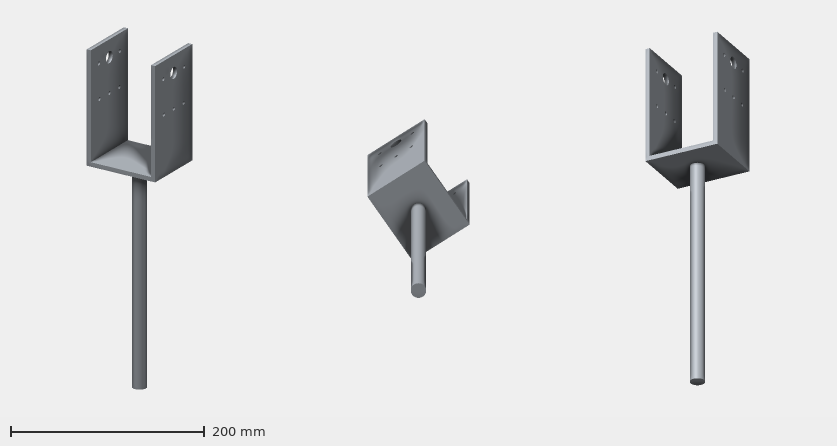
import cadquery as cq

fork_width = 84.0
fork_depth = 71.0
fork_height = 130.0
plate_thickness = 5.0

stem_diameter = 16.0
stem_length = 250.0

pivot_hole_diameter = 13.2
screw_hole_diameter = 4.2
upper_row_drop = 20.0
row_spacing = 40.0
upper_screw_offset = 20.0
lower_screw_offset = 19.0

upper_row_z = fork_height - upper_row_drop
lower_row_z = upper_row_z - row_spacing


def make_fork():
    block = cq.Workplane("XY").box(fork_width, fork_depth, fork_height, centered=(True, True, False))
    gap_width = fork_width - 2 * plate_thickness
    gap = (
        cq.Workplane("XY")
        .workplane(offset=plate_thickness)
        .rect(gap_width, fork_depth)
        .extrude(fork_height - plate_thickness)
    )
    return block.cut(gap)


def make_stem():
    return cq.Workplane("XY").circle(stem_diameter / 2).extrude(-stem_length)


def cross_holes(diameter, centers):
    """Cylinders along X through both side plates, at (y, z) centers."""
    return (
        cq.Workplane("YZ")
        .pushPoints(centers)
        .circle(diameter / 2)
        .extrude(fork_width / 2, both=True)
    )


pivot_holes = cross_holes(pivot_hole_diameter, [(0, upper_row_z)])
screw_holes = cross_holes(
    screw_hole_diameter,
    [
        (-upper_screw_offset, upper_row_z),
        (upper_screw_offset, upper_row_z),
        (-lower_screw_offset, lower_row_z),
        (0, lower_row_z),
        (lower_screw_offset, lower_row_z),
    ],
)

result = make_fork().cut(pivot_holes).cut(screw_holes).union(make_stem())